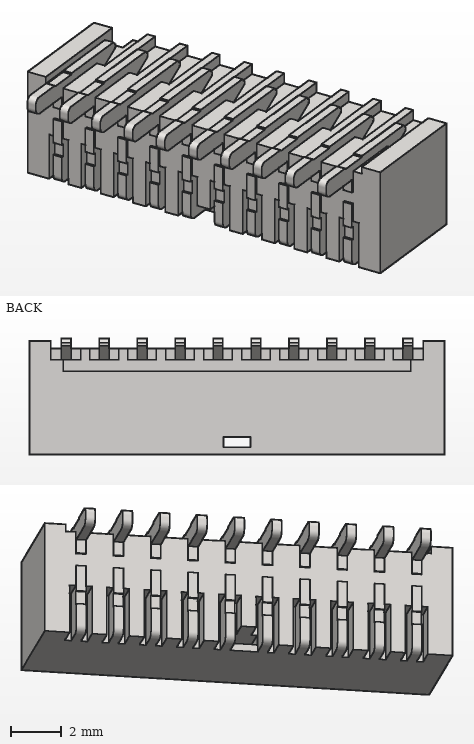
import cadquery as cq


LENGTH = 16.4
DEPTH = 4.97
HEIGHT = 4.5
WING_WIDTH = 0.85
DECK_Z = 4.2
SHELF_LENGTH = 0.75
SHELF_BOTTOM_Z = 3.3
SHELF_INSET = 1.35
TROUGH_FLOOR_Z = 3.75
TROUGH_FRONT_Y = 2.55
RIDGE_WIDTH = 0.36

PIN_COUNT = 10
PIN_SPAN = 13.5
PIN_WIDTH = 0.4
LEAD_LENGTH = 2.03
LEAD_BOTTOM_Z = 3.85
PIN_PROUD = 0.1
LEAD_TOP_RADIUS = 0.25
LEAD_BOTTOM_RADIUS = 0.3
FOOT_RADIUS = 0.28
FOOT_TOP_Z = 1.18
BUMP_BOTTOM_Z = 1.72
BUMP_TOP_Z = 2.77
ROOT_BOTTOM_Z = 3.3
DIP_DEPTH = 0.05
DIP_FRONT_Y = -0.6
DIP_REAR_Y = 0.67
DIP_RAMP = 0.05
BEAK_Y = 3.94
BEAK_BOTTOM_Z = 4.3
BEAK_ROOT_Z = 3.55
BEAK_CHAMFER = 0.16

SLOT_WIDTH = 0.9
SLOT_HEIGHT = 1.97
SLOT_DEPTH = 1.0
WINDOW_BOTTOM_Z = 0.3
WINDOW_TOP_Z = 0.69
WINDOW_WIDTH = 1.05

PITCH = PIN_SPAN / (PIN_COUNT - 1)
PIN_TOP_Z = HEIGHT + PIN_PROUD
REAR_Y = DEPTH + SHELF_LENGTH
DECK_WIDTH = LENGTH - 2 * WING_WIDTH
SHELF_WIDTH = LENGTH - 2 * SHELF_INSET


def block(x_centre, width, y_range, z_range):
    """Box centred on x_centre and spanning the given Y and Z ranges."""
    y_min, y_max = y_range
    z_min, z_max = z_range
    box = cq.Workplane("XY").box(width, y_max - y_min, z_max - z_min, centered=(True, False, False))
    return box.translate((x_centre, y_min, z_min))


def centred_row(count):
    """X positions of count items spaced at the contact pitch about X = 0."""
    return [(i - (count - 1) / 2) * PITCH for i in range(count)]


def make_housing():
    """Block with end wings, rear shelf and ribbed wire troughs on top."""
    body = block(0, LENGTH, (0, DEPTH), (0, HEIGHT))
    body = body.cut(block(0, DECK_WIDTH, (0, DEPTH), (DECK_Z, HEIGHT)))
    body = body.union(block(0, SHELF_WIDTH, (DEPTH, REAR_Y), (SHELF_BOTTOM_Z, DECK_Z)))
    body = body.cut(block(0, DECK_WIDTH, (TROUGH_FRONT_Y, REAR_Y), (TROUGH_FLOOR_Z, DECK_Z)))
    for x in centred_row(PIN_COUNT - 1):
        body = body.union(block(x, RIDGE_WIDTH, (TROUGH_FRONT_Y, REAR_Y), (TROUGH_FLOOR_Z, DECK_Z)))
    return body


def cut_front_openings(body):
    """Contact slots, the notch between the middle slots and the through window."""
    for x in centred_row(PIN_COUNT):
        body = body.cut(block(x, SLOT_WIDTH, (0, SLOT_DEPTH), (0, SLOT_HEIGHT)))
    body = body.cut(block(0, WINDOW_WIDTH, (0, SLOT_DEPTH), (0, WINDOW_TOP_Z)))
    return body.cut(block(0, WINDOW_WIDTH, (0, DEPTH), (WINDOW_BOTTOM_Z, WINDOW_TOP_Z)))


def make_contact():
    """Flat contact plate: profile in the YZ plane, centred on X = 0."""
    front = -PIN_PROUD
    dip_z = PIN_TOP_Z - DIP_DEPTH
    profile = (
        cq.Workplane("YZ")
        .moveTo(SLOT_DEPTH, 0)
        .lineTo(front + FOOT_RADIUS, 0)
        .radiusArc((front, FOOT_RADIUS), FOOT_RADIUS)
        .lineTo(front, FOOT_TOP_Z)
        .lineTo(0, FOOT_TOP_Z)
        .lineTo(0, BUMP_BOTTOM_Z)
        .lineTo(front, BUMP_BOTTOM_Z)
        .lineTo(front, BUMP_TOP_Z)
        .lineTo(0, BUMP_TOP_Z)
        .lineTo(0, ROOT_BOTTOM_Z)
        .lineTo(front, ROOT_BOTTOM_Z)
        .lineTo(front, LEAD_BOTTOM_Z)
        .lineTo(-LEAD_LENGTH + LEAD_BOTTOM_RADIUS, LEAD_BOTTOM_Z)
        .radiusArc((-LEAD_LENGTH, LEAD_BOTTOM_Z + LEAD_BOTTOM_RADIUS), LEAD_BOTTOM_RADIUS)
        .lineTo(-LEAD_LENGTH, PIN_TOP_Z - LEAD_TOP_RADIUS)
        .radiusArc((-LEAD_LENGTH + LEAD_TOP_RADIUS, PIN_TOP_Z), LEAD_TOP_RADIUS)
        .lineTo(DIP_FRONT_Y, PIN_TOP_Z)
        .lineTo(DIP_FRONT_Y + DIP_RAMP, dip_z)
        .lineTo(DIP_REAR_Y - DIP_RAMP, dip_z)
        .lineTo(DIP_REAR_Y, PIN_TOP_Z)
        .lineTo(BEAK_Y - BEAK_CHAMFER, PIN_TOP_Z)
        .lineTo(BEAK_Y, PIN_TOP_Z - BEAK_CHAMFER)
        .lineTo(BEAK_Y, BEAK_BOTTOM_Z)
        .lineTo(TROUGH_FRONT_Y, BEAK_ROOT_Z)
        .lineTo(SLOT_DEPTH, BEAK_ROOT_Z)
        .close()
    )
    return profile.extrude(PIN_WIDTH / 2, both=True)


result = cut_front_openings(make_housing())
contact = make_contact()
for pin_x in centred_row(PIN_COUNT):
    result = result.union(contact.translate((pin_x, 0, 0)))